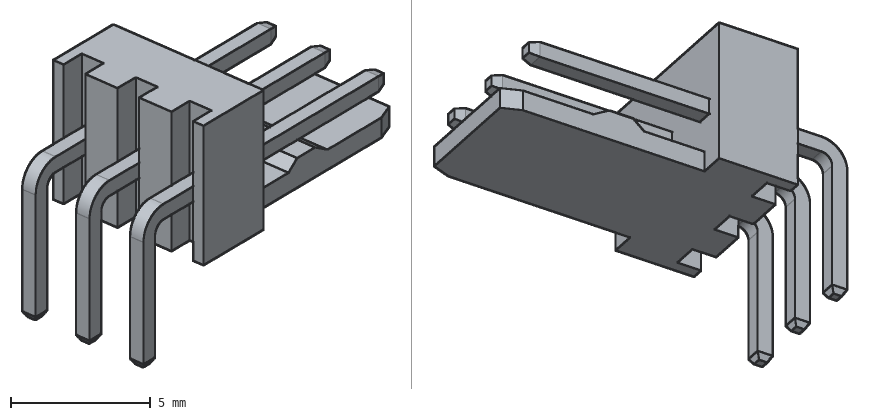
import cadquery as cq


pin_count = 3
pin_pitch = 2.54
pin_span = (pin_count - 1) * pin_pitch
pin_positions = [i * pin_pitch - pin_span / 2 for i in range(pin_count)]

housing_width = 7.08
housing_depth = 3.3
housing_height = 5.8
housing_back_y = -housing_depth

slot_width = 1.02
slot_depth = 1.0

tab_length = 8.4
tab_width = pin_span
tab_thickness = 0.84
tab_tip_width = 4.5
tab_taper_length = 0.78

ridge_height = 0.4
ridge_start_y = 2.53
ridge_back_ramp = 0.47
ridge_flat = 0.98
ridge_front_ramp = 0.68

pin_size = 0.64
pin_axis_z = 2.6
pin_end_y = 7.5
pin_bottom_z = -3.5
pin_back_y = -5.8
bend_outer_radius = 1.1
bend_mid_radius = bend_outer_radius - pin_size / 2
leg_axis_y = pin_back_y + pin_size / 2

mating_tip_length = 0.4
mating_tip_size = 0.44
solder_tip_length = 0.25
solder_tip_size = 0.35


def tapered_tip(plane, end_size, length):
    """Square frustum that narrows from the pin section along the plane's normal."""
    return (
        cq.Workplane(plane)
        .rect(pin_size, pin_size)
        .workplane(offset=length)
        .rect(end_size, end_size)
        .loft(ruled=True)
    )


def make_pin(x):
    """One pin: straight mating arm, rounded bend, solder leg and two tapered tips."""
    arm_end_y = pin_end_y - mating_tip_length
    leg_end_z = pin_bottom_z + solder_tip_length
    path = (
        cq.Workplane("YZ", origin=(x, 0, 0))
        .moveTo(arm_end_y, pin_axis_z)
        .lineTo(leg_axis_y + bend_mid_radius, pin_axis_z)
        .radiusArc((leg_axis_y, pin_axis_z - bend_mid_radius), -bend_mid_radius)
        .lineTo(leg_axis_y, leg_end_z)
    )
    arm_end = cq.Plane(origin=(x, arm_end_y, pin_axis_z), xDir=(1, 0, 0), normal=(0, 1, 0))
    leg_end = cq.Plane(origin=(x, leg_axis_y, leg_end_z), xDir=(1, 0, 0), normal=(0, 0, -1))
    body = cq.Workplane(arm_end).rect(pin_size, pin_size).sweep(path)
    mating_tip = tapered_tip(arm_end, mating_tip_size, mating_tip_length)
    solder_tip = tapered_tip(leg_end, solder_tip_size, solder_tip_length)
    return body.union(mating_tip).union(solder_tip)


def make_tab():
    """Flat locking tab with a tapered tip and a ridge across its top."""
    plate = (
        cq.Workplane("XY")
        .moveTo(-tab_width / 2, 0)
        .lineTo(tab_width / 2, 0)
        .lineTo(tab_width / 2, tab_length - tab_taper_length)
        .lineTo(tab_tip_width / 2, tab_length)
        .lineTo(-tab_tip_width / 2, tab_length)
        .lineTo(-tab_width / 2, tab_length - tab_taper_length)
        .close()
        .extrude(tab_thickness)
    )
    ridge = (
        cq.Workplane("YZ", origin=(-tab_width / 2, ridge_start_y, tab_thickness))
        .lineTo(ridge_back_ramp, ridge_height)
        .lineTo(ridge_back_ramp + ridge_flat, ridge_height)
        .lineTo(ridge_back_ramp + ridge_flat + ridge_front_ramp, 0)
        .close()
        .extrude(tab_width)
    )
    return plate.union(ridge)


def make_housing(pins):
    """Block with its locking tab, back slots and one fitted hole per pin."""
    block = cq.Workplane("XY").box(
        housing_width, housing_depth, housing_height, centered=(True, False, False)
    )
    housing = block.translate((0, housing_back_y, 0)).union(make_tab())
    for x in pin_positions:
        slot = cq.Workplane("XY").box(
            slot_width, slot_depth, housing_height, centered=(True, False, False)
        )
        housing = housing.cut(slot.translate((x, housing_back_y, 0)))
    for pin in pins:
        housing = housing.cut(pin)
    return housing


pins = [make_pin(x) for x in pin_positions]
housing = make_housing(pins)

result = cq.Compound.makeCompound([housing.val(), *[pin.val() for pin in pins]])